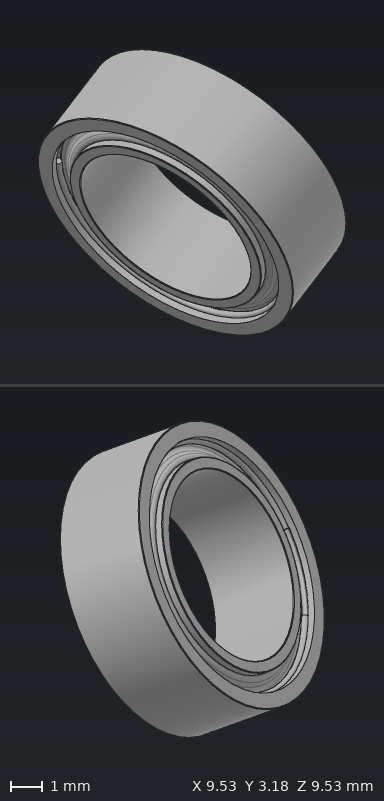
import cadquery as cq
import math

outer_radius = 4.7625
bore_radius = 3.175
width = 3.175
edge_chamfer = 0.025

inner_rim_radius = 3.565
outer_rim_radius = 4.225
lip_depth = 0.265
lip_width = 0.035

bend_radius = 0.255
slope_angle = math.radians(45)
cone_radial_width = 0.12

wire_radius = 0.12
wire_floor_gap = 0.045
wire_start_angle = 220
wire_sweep_angle = 320

bend_run = bend_radius * math.sin(slope_angle)
bend_drop = bend_radius * (1 - math.cos(slope_angle))
half_bend_run = bend_radius * math.sin(slope_angle / 2)
half_bend_drop = bend_radius * (1 - math.cos(slope_angle / 2))
cone_drop = cone_radial_width * math.tan(slope_angle)

half_width = width / 2
lip_end_radius = inner_rim_radius + lip_width
cone_start_radius = lip_end_radius + bend_run
cone_end_radius = cone_start_radius + cone_radial_width
floor_start_radius = cone_end_radius + bend_run
lip_y = half_width - lip_depth
cone_start_y = lip_y - bend_drop
cone_end_y = cone_start_y - cone_drop
floor_y = cone_end_y - bend_drop
wire_y = floor_y + wire_floor_gap + wire_radius


def make_blank():
    """Ring along Y, chamfered where the bore and the outer surface meet the end faces."""
    ring = (
        cq.Workplane("XZ", origin=(0, half_width, 0))
        .circle(outer_radius)
        .circle(bore_radius)
        .extrude(width)
    )
    return ring.faces("<Y or >Y").edges().chamfer(edge_chamfer)


def make_recess():
    """Cutter for the recess in the +Y end face, with the shield wall as its bottom."""
    return (
        cq.Workplane("XY")
        .moveTo(inner_rim_radius - edge_chamfer, half_width)
        .lineTo(inner_rim_radius, half_width - edge_chamfer)
        .lineTo(inner_rim_radius, lip_y)
        .lineTo(lip_end_radius, lip_y)
        .threePointArc(
            (lip_end_radius + half_bend_run, lip_y - half_bend_drop),
            (cone_start_radius, cone_start_y),
        )
        .lineTo(cone_end_radius, cone_end_y)
        .threePointArc(
            (floor_start_radius - half_bend_run, floor_y + half_bend_drop),
            (floor_start_radius, floor_y),
        )
        .lineTo(outer_rim_radius, floor_y)
        .lineTo(outer_rim_radius, half_width)
        .close()
        .revolve(360, (0, 0, 0), (0, 1, 0))
    )


def make_wire(sweep_angle):
    """Round wire at the +Y end, centred on the outer rim's wall and swept about the Y axis."""
    return (
        cq.Workplane("XY")
        .pushPoints([(outer_rim_radius, wire_y)])
        .circle(wire_radius)
        .revolve(sweep_angle, (0, 0, 0), (0, 1, 0))
    )


def at_both_ends(shape):
    """The shape at the +Y end and its mirror image at the -Y end."""
    return [shape, shape.mirror("XZ")]


body = make_blank()
for cutter in at_both_ends(make_recess()) + at_both_ends(make_wire(360)):
    body = body.cut(cutter)

wire = make_wire(wire_sweep_angle).rotate((0, 0, 0), (0, 1, 0), wire_start_angle)
wires = at_both_ends(wire)

result = cq.Compound.makeCompound([body.val(), *[end_wire.val() for end_wire in wires]])